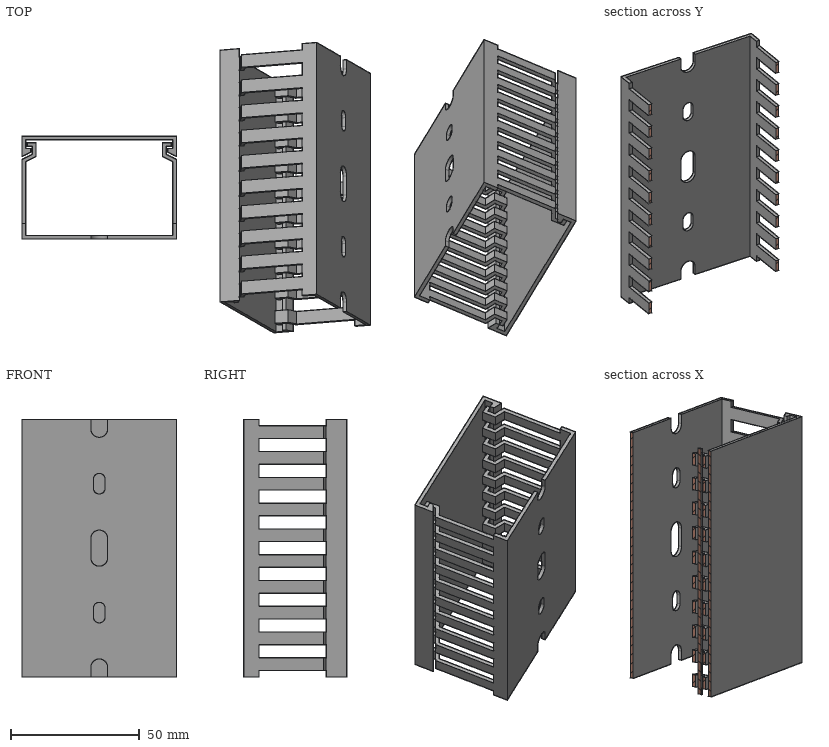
import cadquery as cq
import math

width = 60.0
depth = 40.0
length = 100.0
wall = 1.5

side_x = -width / 2
back_y = -depth / 2
cover_y = depth / 2
bottom_z = -length / 2

finger_pitch = 10.0
finger_height = finger_pitch / 2
slot_height = finger_pitch - finger_height
slot_count = round(length / finger_pitch) + 1
finger_root_y = back_y + 6.0

snap_slope = 0.5
finger_bend_drop = 9.0
hook_inset = 5.5
hook_top_drop = 2.5
hook_tip_inset = 2.0
skirt_drop = 8.0
catch_top_drop = 4.75
catch_inset = 3.5

large_hole_width = 6.5
large_hole_length = 14.0
small_hole_width = 4.5
small_hole_length = 8.0
small_hole_z = 25.0


def mirrored(left_points):
    """Continue a left-half outline with its mirror image about the YZ plane."""
    return left_points + [(-x, y) for x, y in reversed(left_points)]


def extrude_profile(points):
    """Extrude a closed XY outline over the full duct length."""
    return cq.Workplane("XY", origin=(0, 0, bottom_z)).polyline(points).close().extrude(length)


def base_profile():
    """U-shaped channel whose walls bend inward and end in outward hooks."""
    inner_x = side_x + wall
    hook_inner_x = side_x + hook_inset
    hook_outer_x = hook_inner_x - wall
    hook_tip_x = side_x + hook_tip_inset
    hook_top_y = cover_y - hook_top_drop
    hook_under_y = hook_top_y - wall

    slope_rise = snap_slope * (hook_inset - wall)
    half_bend_angle = (math.pi / 2 - math.atan(snap_slope)) / 2
    outer_bend_y = cover_y - finger_bend_drop
    inner_bend_y = outer_bend_y - wall * math.tan(half_bend_angle)

    return mirrored([
        (side_x, back_y),
        (side_x, outer_bend_y),
        (hook_outer_x, outer_bend_y + slope_rise),
        (hook_outer_x, hook_under_y),
        (hook_tip_x, hook_under_y),
        (hook_tip_x, hook_top_y),
        (hook_inner_x, hook_top_y),
        (hook_inner_x, inner_bend_y + slope_rise),
        (inner_x, inner_bend_y),
        (inner_x, back_y + wall),
    ])


def finger_slot(z):
    """Cutter that opens both side walls from the finger roots to the hooks."""
    slot_depth = cover_y - finger_root_y
    slot_middle_y = (cover_y + finger_root_y) / 2
    return cq.Workplane("XY", origin=(0, slot_middle_y, z)).box(width, slot_depth, slot_height)


def mounting_hole(z, hole_length, hole_width):
    """Cutter for an upright round-ended hole through the back wall."""
    back_face = cq.Plane(origin=(0, back_y, z), xDir=(1, 0, 0), normal=(0, 1, 0))
    return cq.Workplane(back_face).slot2D(hole_length, hole_width, 90).extrude(wall)


def make_base():
    base = extrude_profile(base_profile())

    for index in range(slot_count):
        base = base.cut(finger_slot(bottom_z + index * finger_pitch))

    for z in (bottom_z, 0, -bottom_z):
        base = base.cut(mounting_hole(z, large_hole_length, large_hole_width))
    for z in (-small_hole_z, small_hole_z):
        base = base.cut(mounting_hole(z, small_hole_length, small_hole_width))
    return base


def make_cover():
    """Flat cover with a skirt along each side that carries a catch under the hooks."""
    inner_x = side_x + wall
    catch_x = side_x + catch_inset
    skirt_y = cover_y - skirt_drop
    catch_top_y = cover_y - catch_top_drop
    return extrude_profile(mirrored([
        (inner_x, cover_y - wall),
        (inner_x, catch_top_y),
        (catch_x, catch_top_y),
        (catch_x, skirt_y + snap_slope * catch_inset),
        (side_x, skirt_y),
        (side_x, cover_y),
    ]))


base = make_base()
cover = make_cover()

result = cq.Compound.makeCompound([base.solids().val(), cover.val()])